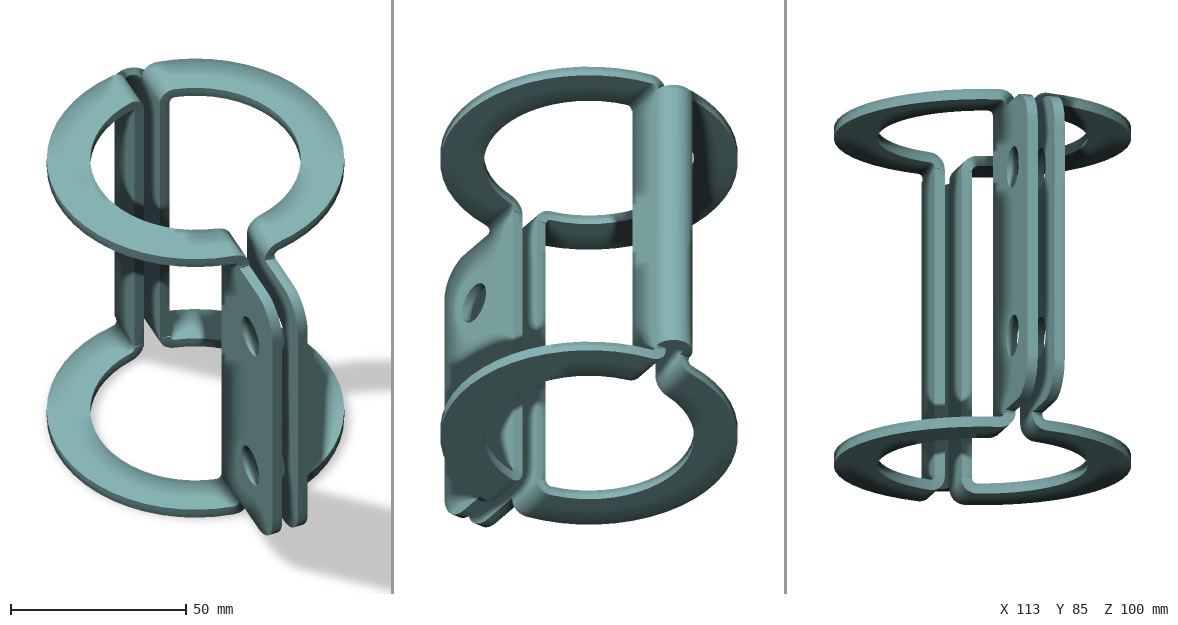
import cadquery as cq
import math

thickness = 3.0
gap = 5.0
height = 100.0
ring_outer_radius = 42.5
ring_inner_radius = 30.1
bend_outer_radius = 4.5
plate_height = 90.0
plate_end = 65.0
corner_radius = 10.1
hole_diameter = 12.0
hole_spacing = 50.0
hole_x = 50.0

web_inner_y = gap / 2
web_outer_y = web_inner_y + thickness
bend_inner_radius = bend_outer_radius - thickness
bend_end_y = web_inner_y + bend_outer_radius
flange_top = height / 2
flange_bottom = flange_top - thickness
web_height = height - 2 * bend_outer_radius
web_top = web_height / 2
web_start_x = math.sqrt(ring_inner_radius**2 - web_inner_y**2)
web_end_x = math.sqrt(ring_outer_radius**2 - web_inner_y**2)


def box(x_min, x_max, y_min, y_max, box_height):
    """Box between the given X and Y limits, centred on Z = 0."""
    return (
        cq.Workplane("XY")
        .box(x_max - x_min, y_max - y_min, box_height, centered=(False, False, True))
        .translate((x_min, y_min, 0))
    )


def bend_midpoint(radius):
    """Point (Y, Z) halfway round the quarter bend that turns the web into the flange."""
    offset = radius * math.sqrt(0.5)
    return (bend_end_y - offset, web_top + offset)


def top_flange():
    """Half ring on the +Y side at the top, with its bends running down to the webs."""
    section = (
        cq.Workplane("YZ")
        .moveTo(web_inner_y, web_top)
        .threePointArc(bend_midpoint(bend_outer_radius), (bend_end_y, flange_top))
        .lineTo(ring_outer_radius, flange_top)
        .lineTo(ring_outer_radius, flange_bottom)
        .lineTo(bend_end_y, flange_bottom)
        .threePointArc(bend_midpoint(bend_inner_radius), (web_outer_y, web_top))
        .close()
        .extrude(ring_outer_radius, both=True)
    )
    ring = (
        cq.Workplane("XY")
        .circle(ring_outer_radius)
        .circle(ring_inner_radius)
        .extrude(flange_top)
    )
    return section.intersect(ring)


def ear():
    """Clamping ear on the +Y side, with rounded free corners and two bolt holes."""
    plate = box(web_start_x, plate_end, web_inner_y, web_outer_y, plate_height)
    plate = plate.edges("|Y and >X").fillet(corner_radius)
    holes = (
        cq.Workplane("XZ")
        .pushPoints([(hole_x, hole_spacing / 2), (hole_x, -hole_spacing / 2)])
        .circle(hole_diameter / 2)
        .extrude(-2 * web_outer_y)
    )
    return plate.cut(holes)


def half_bracket():
    """Everything on the +Y side except the hinge loop."""
    flange = top_flange()
    half = ear().union(flange).union(flange.mirror("XY"))
    half = half.union(box(web_start_x, web_end_x, web_inner_y, web_outer_y, web_height))
    half = half.union(box(-web_end_x, -web_start_x, web_inner_y, web_outer_y, web_height))
    loop_side = box(-ring_outer_radius, -web_start_x, web_inner_y, web_outer_y, plate_height)
    return half.union(loop_side)


def hinge_loop():
    """Half-round fold joining the two webs on the -X side."""
    tube = (
        cq.Workplane("XY")
        .workplane(offset=-plate_height / 2)
        .center(-ring_outer_radius, 0)
        .circle(web_outer_y)
        .circle(web_inner_y)
        .extrude(plate_height)
    )
    loop_end_x = -ring_outer_radius - web_outer_y
    fold_side = box(loop_end_x, -ring_outer_radius, -web_outer_y, web_outer_y, plate_height)
    return tube.intersect(fold_side)


half = half_bracket()
result = half.union(half.mirror("XZ")).union(hinge_loop())